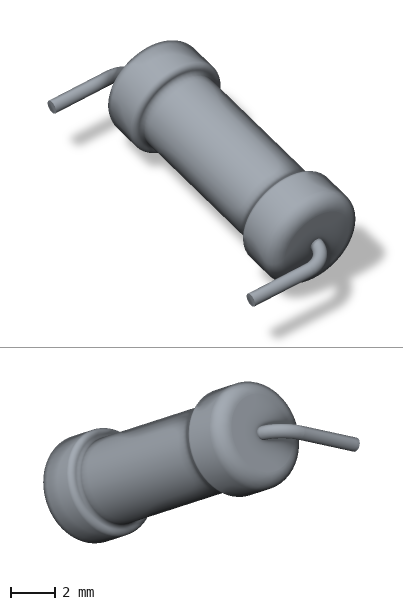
import cadquery as cq
import math

body_length = 13.0
cap_diameter = 5.0
barrel_diameter = 4.05
cap_length = 2.38
end_round = 0.68
shoulder_round = 0.25
barrel_fillet = 0.16

lead_diameter = 0.65
lead_span = 15.89
bend_radius = 1.27
lead_reach = 4.5

half_body = body_length / 2
cap_radius = cap_diameter / 2
barrel_radius = barrel_diameter / 2
shoulder_x = half_body - cap_length
lead_radius = lead_diameter / 2
lead_x = lead_span / 2 - lead_radius
bend_start_x = lead_x - bend_radius

left, right = -1, 1


def make_cap(side):
    """One cap, as a disc with its outer and inner rims rounded."""
    outer_face, inner_face = (">X", "<X") if side == right else ("<X", ">X")
    return (
        cq.Workplane("YZ", origin=(side * shoulder_x, 0, 0))
        .circle(cap_radius)
        .extrude(side * cap_length)
        .faces(outer_face).edges().fillet(end_round)
        .faces(inner_face).edges().fillet(shoulder_round)
    )


def make_barrel():
    """The middle cylinder, flared by a fillet at both ends to meet the shoulders."""
    arc_offset = barrel_fillet * (1 - math.sqrt(0.5))
    flare_radius = barrel_radius + barrel_fillet
    flare_x = shoulder_x - barrel_fillet
    return (
        cq.Workplane("XY")
        .moveTo(-shoulder_x, 0)
        .lineTo(-shoulder_x, flare_radius)
        .threePointArc((-shoulder_x + arc_offset, barrel_radius + arc_offset), (-flare_x, barrel_radius))
        .lineTo(flare_x, barrel_radius)
        .threePointArc((shoulder_x - arc_offset, barrel_radius + arc_offset), (shoulder_x, flare_radius))
        .lineTo(shoulder_x, 0)
        .close()
        .revolve(360, (0, 0, 0), (1, 0, 0))
    )


def make_lead(side):
    """One wire: a quarter bend that starts inside the cap, then a straight leg."""
    diagonal = bend_radius * math.sqrt(0.5)
    centreline = (
        cq.Workplane("XY")
        .moveTo(side * bend_start_x, 0)
        .threePointArc(
            (side * (bend_start_x + diagonal), diagonal - bend_radius),
            (side * lead_x, -bend_radius),
        )
        .lineTo(side * lead_x, -lead_reach)
    )
    return (
        cq.Workplane("YZ", origin=(side * bend_start_x, 0, 0))
        .circle(lead_radius)
        .sweep(centreline)
    )


leads = [make_lead(side) for side in (left, right)]

body = make_barrel()
for side in (left, right):
    body = body.union(make_cap(side))
for lead in leads:
    body = body.cut(lead)

result = cq.Compound.makeCompound([body.solids().val(), *[lead.val() for lead in leads]])